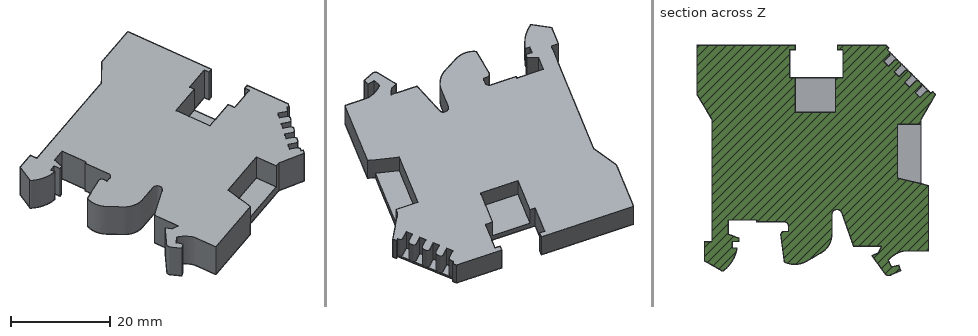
import cadquery as cq
import math

length = 48.0
height = 46.35
thickness = 8.1
plate_thickness = 0.7
pocket_floor_z = 2.0

left_wall = 3.0
right_wall = 45.05
shoulder_top = 36.45
shoulder_bottom = 31.4
corner_cut_x = 38.0
right_leg_x = 46.6
right_leg_top = 18.1
ramp_rise = 0.45
rail_roof = 10.8

opening_left = 18.7
opening_right = 29.4
opening_bottom = 39.85
lip_depth = 0.95
lip_reach = 1.1
top_pocket_left = opening_left + lip_reach
top_pocket_right = 27.85
top_pocket_bottom = 32.9

side_pocket_left = 40.35
side_pocket_top = 30.45
side_pocket_bottom = 19.65

edge_drop = height - shoulder_top
edge_run = length - corner_cut_x
edge_length = math.hypot(edge_run, edge_drop)
edge_angle = -math.degrees(math.atan2(edge_drop, edge_run))
end_land = 0.85
tooth_recess = 0.5
gap_count = 4
gap_pitch = 3.0
gap_width = 1.35
first_gap = 2.0
gap_depth = 2.65
tooth_round = 0.6

leg_inner_x = 6.35
leg_overlap = 0.5
relief_end = 12.0
relief_depth = 0.4
clip_left = 1.5
clip_top = 6.85
clip_corner = 3.0
clip_tip_start = (4.9, 1.05)
clip_tip = (5.15, 0.9)
clip_tip_end = (5.4, 1.05)
clip_curve_middle = (7.35, 3.3)
clip_nose_x = 8.1
clip_groove_x = 7.15
clip_groove_bottom = 5.55
barb_x = 8.5
barb_top = 7.55
barb_root = 8.35

foot_back = 18.4
foot_front = 27.15
foot_neck = 8.95
foot_corner_radius = 0.75
toe_x = 16.85
sole_start = (17.55, 2.75)
sole_end = (22.05, 2.9)
sole_angle = math.radians(30)
heel_radius = 4.3

slot_top = 13.3
slot_radius = 1.0
slot_taper = math.radians(19.3)

leg_bottom_left = 5.9
leg_bottom_right = 4.95
hook_root = 37.1
hook_notch = (36.5, 4.6)
hook_heel = (35.2, 4.05)
hook_bottom_start = (37.9, 0.25)
hook_bottom = (38.5, 0.0)
hook_bottom_end = (39.0, 0.15)
hook_tip_bottom = (41.0, 1.0)
hook_tip_top = (40.6, 2.1)
hook_inner = (39.1, 1.8)
hook_throat = (38.5, 3.1)
hook_curve_middle = (39.95, 4.3)
hook_curve_end = 41.6


def full_depth(sketch):
    return sketch.close().extrude(thickness)


def down_to(floor_z, sketch):
    return sketch.close().extrude(thickness - floor_z).translate((0, 0, floor_z))


def start(x, y):
    return cq.Workplane("XY").moveTo(x, y)


def rectangle(left, bottom, right, top):
    return start(left, bottom).lineTo(right, bottom).lineTo(right, top).lineTo(left, top)


def body():
    ramp_top = right_leg_top + ramp_rise
    return full_depth(
        start(0, height)
        .lineTo(0, shoulder_top)
        .lineTo(left_wall, shoulder_bottom)
        .lineTo(left_wall, rail_roof)
        .lineTo(right_leg_x, rail_roof)
        .lineTo(right_leg_x, right_leg_top)
        .lineTo(right_wall, ramp_top)
        .lineTo(right_wall, shoulder_bottom)
        .lineTo(length, shoulder_top)
        .lineTo(corner_cut_x, height)
    )


def clip_leg():
    return full_depth(
        start(left_wall, rail_roof + leg_overlap)
        .lineTo(left_wall, clip_top)
        .lineTo(clip_left, clip_top)
        .lineTo(clip_left, clip_corner)
        .lineTo(*clip_tip_start)
        .threePointArc(clip_tip, clip_tip_end)
        .threePointArc(clip_curve_middle, (clip_nose_x, clip_groove_bottom))
        .lineTo(clip_groove_x, clip_groove_bottom)
        .lineTo(clip_groove_x, clip_top)
        .lineTo(barb_x, clip_top)
        .lineTo(barb_x, barb_top)
        .lineTo(leg_inner_x, barb_root)
        .lineTo(leg_inner_x, rail_roof + leg_overlap)
    )


def foot():
    corner_y = sole_end[1] + (foot_front - sole_end[0]) * math.tan(sole_angle)
    tangent = heel_radius * math.tan((math.pi / 2 - sole_angle) / 2)
    heel_start_y = corner_y + tangent
    heel_end = (foot_front - tangent * math.cos(sole_angle), corner_y - tangent * math.sin(sole_angle))
    toe_top = foot_neck - foot_corner_radius
    return full_depth(
        start(foot_front, rail_roof + leg_overlap)
        .lineTo(foot_front, heel_start_y)
        .tangentArcPoint(heel_end, relative=False)
        .lineTo(*sole_end)
        .tangentArcPoint(sole_start, relative=False)
        .lineTo(toe_x, toe_top)
        .radiusArc((toe_x + foot_corner_radius, foot_neck), foot_corner_radius)
        .lineTo(foot_back, foot_neck)
        .lineTo(foot_back, rail_roof - foot_corner_radius)
        .radiusArc((foot_back - foot_corner_radius, rail_roof), -foot_corner_radius)
        .lineTo(foot_back - foot_corner_radius, rail_roof + leg_overlap)
    )


def hook_leg():
    return full_depth(
        start(foot_front, rail_roof + leg_overlap)
        .lineTo(foot_front, leg_bottom_left)
        .lineTo(hook_root, leg_bottom_left)
        .lineTo(*hook_notch)
        .lineTo(*hook_heel)
        .lineTo(*hook_bottom_start)
        .threePointArc(hook_bottom, hook_bottom_end)
        .lineTo(*hook_tip_bottom)
        .lineTo(*hook_tip_top)
        .lineTo(*hook_inner)
        .lineTo(*hook_throat)
        .threePointArc(hook_curve_middle, (hook_curve_end, leg_bottom_right))
        .lineTo(right_leg_x, leg_bottom_right)
        .lineTo(right_leg_x, rail_roof + leg_overlap)
    )


def tapered_slot():
    center_x = foot_front + slot_radius
    center_y = slot_top - slot_radius
    taper_x = center_x + slot_radius * math.cos(slot_taper)
    taper_y = center_y + slot_radius * math.sin(slot_taper)
    mouth_x = taper_x + (taper_y - leg_bottom_left) * math.tan(slot_taper)
    return full_depth(
        start(foot_front, leg_bottom_left)
        .lineTo(foot_front, center_y)
        .threePointArc((center_x, slot_top), (taper_x, taper_y))
        .lineTo(mouth_x, leg_bottom_left)
    )


def rail_relief():
    return full_depth(rectangle(leg_inner_x, rail_roof, relief_end, rail_roof + relief_depth))


def top_opening():
    lip_bottom = height - lip_depth
    mouth_left = opening_left + lip_reach
    mouth_right = opening_right - lip_reach
    gap = rectangle(mouth_left, lip_bottom, mouth_right, height)
    hollow = rectangle(opening_left, opening_bottom, opening_right, lip_bottom)
    return full_depth(gap).union(full_depth(hollow))


def top_pocket():
    return down_to(
        pocket_floor_z,
        rectangle(top_pocket_left, top_pocket_bottom, top_pocket_right, opening_bottom),
    )


def side_pocket():
    return down_to(
        pocket_floor_z,
        start(side_pocket_left, side_pocket_top)
        .lineTo(side_pocket_left, side_pocket_bottom)
        .lineTo(right_wall, right_leg_top + ramp_rise)
        .lineTo(right_wall, side_pocket_top),
    )


def edge_recess():
    return full_depth(rectangle(end_land, -tooth_recess, edge_length - end_land, 0))


def tooth_gap(left):
    right = left + gap_width
    flare_bottom = -tooth_recess - tooth_round
    return down_to(
        plate_thickness,
        start(left, -gap_depth)
        .lineTo(left, flare_bottom)
        .radiusArc((left - tooth_round, -tooth_recess), -tooth_round)
        .lineTo(right + tooth_round, -tooth_recess)
        .radiusArc((right, flare_bottom), -tooth_round)
        .lineTo(right, -gap_depth),
    )


def toothed_edge():
    cutter = edge_recess()
    for index in range(gap_count):
        cutter = cutter.union(tooth_gap(first_gap + index * gap_pitch))
    return cutter.rotate((0, 0, 0), (0, 0, 1), edge_angle).translate((corner_cut_x, height, 0))


result = body().union(clip_leg()).union(foot()).union(hook_leg())
for cutter in (
    tapered_slot(),
    rail_relief(),
    top_opening(),
    top_pocket(),
    side_pocket(),
    toothed_edge(),
):
    result = result.cut(cutter)